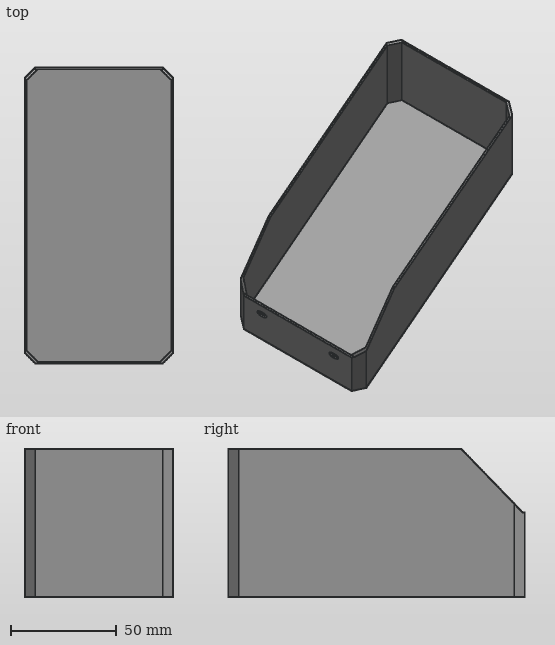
import cadquery as cq

WIDTH = 70.0
LENGTH = 140.0
HEIGHT = 70.0

WALL = 1.0
CORNER_CHAMFER = 5.0

BACK_HEIGHT = 40.0
SLOPE_TOP_SETBACK = 30.0
BACK_RIM = WALL

HOLE_DIAMETER = 5.0
HOLE_HEIGHT = 30.0
HOLE_SPACING = 40.0

BACK_Y = LENGTH / 2


def chamfered_block(width, length, height, chamfer):
    """Upright block standing on Z = 0 with its four vertical edges chamfered."""
    block = cq.Workplane("XY").box(width, length, height, centered=(True, True, False))
    return block.edges("|Z").chamfer(chamfer)


def cavity():
    """Storage space, inset by the wall on each side and above a floor of the same thickness."""
    inner_width = WIDTH - 2 * WALL
    inner_length = LENGTH - 2 * WALL
    space = chamfered_block(inner_width, inner_length, HEIGHT, CORNER_CHAMFER)
    return space.translate((0, 0, WALL))


def back_slope():
    """Material above the sloped side edges and the low back rim."""
    return (
        cq.Workplane("YZ")
        .moveTo(BACK_Y - SLOPE_TOP_SETBACK, HEIGHT)
        .lineTo(BACK_Y - BACK_RIM, BACK_HEIGHT)
        .lineTo(BACK_Y, BACK_HEIGHT)
        .lineTo(BACK_Y, HEIGHT)
        .close()
        .extrude(WIDTH / 2, both=True)
    )


def hanging_holes():
    """Two round holes along Y, placed evenly about the middle of the back wall."""
    return (
        cq.Workplane("XZ", origin=(0, BACK_Y, HOLE_HEIGHT))
        .pushPoints([(-HOLE_SPACING / 2, 0), (HOLE_SPACING / 2, 0)])
        .circle(HOLE_DIAMETER / 2)
        .extrude(2 * WALL)
    )


result = (
    chamfered_block(WIDTH, LENGTH, HEIGHT, CORNER_CHAMFER)
    .cut(cavity())
    .cut(back_slope())
    .cut(hanging_holes())
)